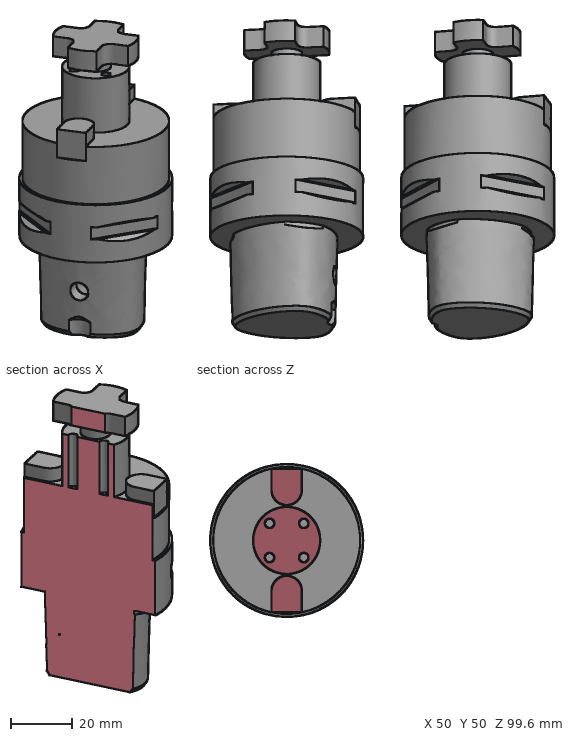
import cadquery as cq
import math

SHANK_LENGTH = 30.0
SHANK_DIAMETER = 35.0
LOBE_HEIGHT = 1.12
COLLAR_LENGTH = 2.8
TAPER_RATIO = 1 / 20
TIP_CHAMFER_HEIGHT = 1.5
TIP_CHAMFER_INSET = 1.0
PROFILE_POINTS = 48

RELIEF_RADIUS = 17.65
RELIEF_STRAIGHT = 0.7
RELIEF_ROUND = 0.8
RELIEF_SLOPE = 45.0
RELIEF_OUTER_RADIUS = SHANK_DIAMETER / 2 + 2 * LOBE_HEIGHT

DRILL_DIAMETER = 6.2
DRILL_DEPTH = 6.0
DRILL_POINT_ANGLE = 118.0
DRILL_Z = -13.9
NOTCH_RADIUS = 4.55
NOTCH_AXIS_OFFSET = 2.3
NOTCH_SHOULDER_Z = -24.6
NOTCH_CONE_HEIGHT = 3.6

FLANGE_DIAMETER = 50.0
FLANGE_HEIGHT = 20.0
GROOVE_FLOOR_DISTANCE = 21.9
GROOVE_WALL_HEIGHT = 1.0
GROOVE_FLOOR_LENGTH = 23.9
GROOVE_FLOOR_WIDTH = 4.2
GROOVE_SLOPE = 30.0
GROOVE_Z = 10.2

BODY_DIAMETER = 48.0
BODY_HEIGHT = 20.0
KEY_WIDTH = 10.0
KEY_RISE = 4.8
KEY_DROP = 5.0
KEY_OUTER_Y = 23.46
KEY_INNER_Y = 11.5

PIN_DIAMETER = 22.0
PIN_LENGTH = 19.0
COOLANT_DIAMETER = 3.0
COOLANT_CIRCLE_DIAMETER = 15.8

NECK_DIAMETER = 10.0
NECK_LENGTH = 3.6
HEAD_DIAMETER = 28.0
HEAD_HEIGHT = 7.0
HEAD_ARM_WIDTH = 10.0
HEAD_CORNER_RADIUS = 3.0

BODY_TOP = FLANGE_HEIGHT + BODY_HEIGHT
PIN_TOP = BODY_TOP + PIN_LENGTH
HEAD_BOTTOM = PIN_TOP + NECK_LENGTH
DIAGONALS = (45, 135, 225, 315)


def cylinder(diameter, bottom, height):
    return cq.Workplane("XY").workplane(offset=bottom).circle(diameter / 2).extrude(height)


def polygon_wire(diameter, z):
    """Three-lobed constant-width curve with one lobe pointing to +Y."""

    def point(t):
        along = (diameter / 2 * math.cos(t) - 2 * LOBE_HEIGHT * math.cos(2 * t)
                 + LOBE_HEIGHT * math.cos(4 * t))
        across = (diameter / 2 * math.sin(t) + 2 * LOBE_HEIGHT * math.sin(2 * t)
                  + LOBE_HEIGHT * math.sin(4 * t))
        return cq.Vector(across, -along, z)

    points = [point(2 * math.pi * i / PROFILE_POINTS) for i in range(PROFILE_POINTS)]
    return cq.Wire.assembleEdges([cq.Edge.makeSpline(points, periodic=True)])


def make_shank():
    chamfer_z = TIP_CHAMFER_HEIGHT - SHANK_LENGTH
    tapered_length = -chamfer_z - COLLAR_LENGTH
    small_diameter = SHANK_DIAMETER - tapered_length * TAPER_RATIO
    tip_diameter = small_diameter - 2 * TIP_CHAMFER_INSET
    sections = [
        polygon_wire(SHANK_DIAMETER, 0),
        polygon_wire(SHANK_DIAMETER, -COLLAR_LENGTH),
        polygon_wire(small_diameter, chamfer_z),
        polygon_wire(tip_diameter, -SHANK_LENGTH),
    ]
    return cq.Workplane(obj=cq.Solid.makeLoft(sections, True))


def flat_y(z):
    """Y of the tapered -Y flat at its middle."""
    radius = SHANK_DIAMETER / 2 - LOBE_HEIGHT
    return -radius - (z + COLLAR_LENGTH) * TAPER_RATIO / 2


def make_relief():
    """Ring that trims the lobes just below the flange, ending in a rounded slope."""
    slope = math.radians(RELIEF_SLOPE)

    def round_point(turn):
        return (RELIEF_RADIUS + RELIEF_ROUND * (1 - math.cos(turn)),
                -RELIEF_STRAIGHT - RELIEF_ROUND * math.sin(turn))

    round_end = round_point(slope)
    slope_drop = (RELIEF_OUTER_RADIUS - round_end[0]) / math.tan(slope)
    return (
        cq.Workplane("XZ")
        .moveTo(RELIEF_RADIUS, 0)
        .lineTo(RELIEF_RADIUS, -RELIEF_STRAIGHT)
        .threePointArc(round_point(slope / 2), round_end)
        .lineTo(RELIEF_OUTER_RADIUS, round_end[1] - slope_drop)
        .lineTo(RELIEF_OUTER_RADIUS, 0)
        .close()
        .revolve(360, (0, 0, 0), (0, 1, 0))
    )


def make_drilled_hole():
    """Blind hole into the -Y flat, with a drill point at its end."""
    radius = DRILL_DIAMETER / 2
    mouth_y = -SHANK_DIAMETER / 2
    wall_end_y = flat_y(DRILL_Z) + DRILL_DEPTH
    point_length = radius / math.tan(math.radians(DRILL_POINT_ANGLE / 2))
    return (
        cq.Workplane("XY", origin=(0, 0, DRILL_Z))
        .moveTo(0, mouth_y)
        .lineTo(radius, mouth_y)
        .lineTo(radius, wall_end_y)
        .lineTo(0, wall_end_y + point_length)
        .close()
        .revolve(360, (0, 0, 0), (0, 1, 0))
    )


def make_notch():
    """Vertical round notch, open at the shank tip, with a conical upper end."""
    axis_y = flat_y(NOTCH_SHOULDER_Z) - NOTCH_AXIS_OFFSET
    return (
        cq.Workplane("XZ", origin=(0, axis_y, 0))
        .moveTo(0, -SHANK_LENGTH)
        .lineTo(NOTCH_RADIUS, -SHANK_LENGTH)
        .lineTo(NOTCH_RADIUS, NOTCH_SHOULDER_Z)
        .lineTo(0, NOTCH_SHOULDER_Z + NOTCH_CONE_HEIGHT)
        .close()
        .revolve(360, (0, 0, 0), (0, 1, 0))
    )


def make_gripper_groove(angle):
    """Flat-floored groove whose walls flare outward, cut at an angle to X."""
    half_floor = GROOVE_FLOOR_WIDTH / 2
    wall_end = GROOVE_FLOOR_DISTANCE + GROOVE_WALL_HEIGHT
    mouth = FLANGE_DIAMETER / 2
    half_mouth = half_floor + (mouth - wall_end) * math.tan(math.radians(GROOVE_SLOPE))
    return (
        cq.Workplane("XZ", origin=(0, 0, GROOVE_Z))
        .moveTo(GROOVE_FLOOR_DISTANCE, -half_floor)
        .lineTo(wall_end, -half_floor)
        .lineTo(mouth, -half_mouth)
        .lineTo(mouth, half_mouth)
        .lineTo(wall_end, half_floor)
        .lineTo(GROOVE_FLOOR_DISTANCE, half_floor)
        .close()
        .extrude(GROOVE_FLOOR_LENGTH / 2, both=True)
        .rotate((0, 0, 0), (0, 0, 1), angle)
    )


def make_key(side):
    """Drive key with a rounded inner end and a flat outer end, on side +1 or -1 of Y."""
    half_width = KEY_WIDTH / 2
    round_start_y = side * (KEY_INNER_Y + half_width)
    return (
        cq.Workplane("XY")
        .workplane(offset=BODY_TOP - KEY_DROP)
        .moveTo(-half_width, side * KEY_OUTER_Y)
        .lineTo(-half_width, round_start_y)
        .threePointArc((0, side * KEY_INNER_Y), (half_width, round_start_y))
        .lineTo(half_width, side * KEY_OUTER_Y)
        .close()
        .extrude(KEY_RISE + KEY_DROP)
    )


def make_key_seat(side):
    """Sliver removed from the body so that its wall is flush with the key's outer end."""
    body_radius = BODY_DIAMETER / 2
    seat_depth = body_radius - KEY_OUTER_Y
    return (
        cq.Workplane("XY")
        .box(KEY_WIDTH, seat_depth, KEY_DROP, centered=(True, True, False))
        .translate((0, side * (KEY_OUTER_Y + seat_depth / 2), BODY_TOP - KEY_DROP))
    )


def make_coolant_holes():
    return (
        cq.Workplane("XY")
        .workplane(offset=BODY_TOP)
        .polarArray(COOLANT_CIRCLE_DIAMETER / 2, DIAGONALS[0], 360, len(DIAGONALS))
        .circle(COOLANT_DIAMETER / 2)
        .extrude(PIN_LENGTH)
    )


def make_screw_head():
    plane = cq.Workplane("XY").workplane(offset=HEAD_BOTTOM)
    arm_along_x = plane.rect(HEAD_DIAMETER, HEAD_ARM_WIDTH).extrude(HEAD_HEIGHT)
    arm_along_y = plane.rect(HEAD_ARM_WIDTH, HEAD_DIAMETER).extrude(HEAD_HEIGHT)
    inner_corners = cq.selectors.BoxSelector(
        (-HEAD_ARM_WIDTH, -HEAD_ARM_WIDTH, HEAD_BOTTOM),
        (HEAD_ARM_WIDTH, HEAD_ARM_WIDTH, HEAD_BOTTOM + HEAD_HEIGHT),
    )
    cross = arm_along_x.union(arm_along_y)
    cross = cross.edges("|Z").edges(inner_corners).fillet(HEAD_CORNER_RADIUS)
    return cross.intersect(cylinder(HEAD_DIAMETER, HEAD_BOTTOM, HEAD_HEIGHT))


shank = make_shank().cut(make_relief()).cut(make_drilled_hole()).cut(make_notch())

flange = cylinder(FLANGE_DIAMETER, 0, FLANGE_HEIGHT)
for diagonal in DIAGONALS:
    flange = flange.cut(make_gripper_groove(diagonal))

body = cylinder(BODY_DIAMETER, FLANGE_HEIGHT, BODY_HEIGHT)
for key_side in (-1, 1):
    body = body.cut(make_key_seat(key_side)).union(make_key(key_side))

pin = cylinder(PIN_DIAMETER, BODY_TOP, PIN_LENGTH).cut(make_coolant_holes())
neck = cylinder(NECK_DIAMETER, PIN_TOP, NECK_LENGTH)

result = shank.union(flange).union(body).union(pin).union(neck).union(make_screw_head())